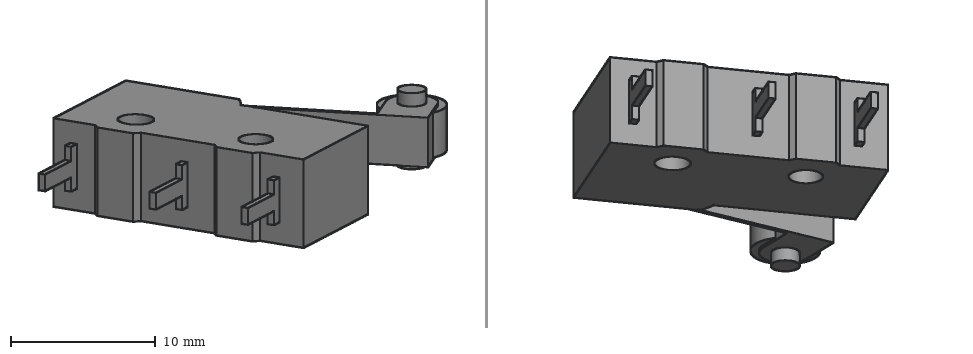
import cadquery as cq
import math

body_length = 19.8
body_height = 10.2
body_thickness = 6.4
step_drop = 1.1
step_start = 8.97
step_end = 9.7
step_bulge = 0.05

foot_starts = (3.31, 12.75)
foot_length = 3.63
foot_depth = 0.4

hole_height = 2.55
hole_diameter = 2.4
round_hole_x = 14.6
slot_x = 5.1
slot_length = 2.52

terminal_centres = (1.6, 10.4, 17.67)
terminal_thickness = 0.5
shoulder_width = 3.23
shoulder_depth = 0.8
blade_width = 1.2
blade_reach = 4.47

plunger_centre = 7.1
plunger_width = 2.0
plunger_side_height = 0.63
plunger_height = 1.2

lever_angle = math.radians(18)
lever_thickness = 0.32
lever_width = 3.58
stem_x = 2.8
roller_x = 17.46
roller_radius = 2.42
roller_y = 26.3 - blade_reach - roller_radius
roller_width = 3.25
bracket_radius = 1.81
bracket_reach = 3.353
pin_radius = 1.0
pin_length = 5.5


def extrude_centred(sketch, width):
    return sketch.extrude(width / 2, both=True)


def block(x_min, x_max, y_min, y_max, width):
    sketch = cq.Workplane("XY").center((x_min + x_max) / 2, (y_min + y_max) / 2)
    return extrude_centred(sketch.rect(x_max - x_min, y_max - y_min), width)


def disc(radius, width):
    return extrude_centred(cq.Workplane("XY").center(roller_x, roller_y).circle(radius), width)


def make_housing():
    outline = cq.Workplane("XY").moveTo(0, 0)
    for start in foot_starts:
        end = start + foot_length
        outline = (
            outline.lineTo(start, 0)
            .lineTo(start + foot_depth, -foot_depth)
            .lineTo(end - foot_depth, -foot_depth)
            .lineTo(end, 0)
        )
    outline = (
        outline.lineTo(body_length, 0)
        .lineTo(body_length, body_height - step_drop)
        .lineTo(step_end, body_height - step_drop)
        .sagittaArc((step_start, body_height), -step_bulge)
        .lineTo(0, body_height)
        .close()
    )
    round_hole = cq.Workplane("XY").center(round_hole_x, hole_height).circle(hole_diameter / 2)
    slot = cq.Workplane("XY").center(slot_x, hole_height).slot2D(slot_length, hole_diameter)
    housing = extrude_centred(outline, body_thickness)
    housing = housing.cut(extrude_centred(round_hole, body_thickness))
    return housing.cut(extrude_centred(slot, body_thickness))


def make_terminal(centre):
    x_min = centre - terminal_thickness / 2
    x_max = centre + terminal_thickness / 2
    shoulder = block(x_min, x_max, -shoulder_depth, shoulder_depth, shoulder_width)
    blade = block(x_min, x_max, -blade_reach, shoulder_depth, blade_width)
    return shoulder.union(blade)


def make_plunger():
    left = plunger_centre - plunger_width / 2
    right = plunger_centre + plunger_width / 2
    shoulder = body_height + plunger_side_height
    outline = (
        cq.Workplane("XY")
        .moveTo(left, body_height - plunger_side_height)
        .lineTo(right, body_height - plunger_side_height)
        .lineTo(right, shoulder)
        .threePointArc((plunger_centre, body_height + plunger_height), (left, shoulder))
        .close()
    )
    return extrude_centred(outline, plunger_width)


def bracket_point(along, across):
    """Point offset from the roller axis, along the lever and away from it."""
    return (
        roller_x + along * math.cos(lever_angle) - across * math.sin(lever_angle),
        roller_y + along * math.sin(lever_angle) + across * math.cos(lever_angle),
    )


def make_lever():
    """Thin bent strip with a solid round-ended bracket at its tip."""
    tip = bracket_point(bracket_radius, -bracket_reach)
    bracket_corner = bracket_point(-bracket_radius, lever_thickness - bracket_reach)
    slope = math.tan(lever_angle)
    stem_inner_x = stem_x + lever_thickness
    inner_bend_y = tip[1] - slope * (tip[0] - stem_inner_x)
    outer_bend_y = bracket_corner[1] - slope * (bracket_corner[0] - stem_x)
    root_y = body_height - lever_thickness
    outline = (
        cq.Workplane("XY")
        .moveTo(stem_x, root_y)
        .lineTo(stem_inner_x, root_y)
        .lineTo(stem_inner_x, inner_bend_y)
        .lineTo(*tip)
        .lineTo(*bracket_point(bracket_radius, 0))
        .threePointArc(bracket_point(0, bracket_radius), bracket_point(-bracket_radius, 0))
        .lineTo(*bracket_corner)
        .lineTo(stem_x, outer_bend_y)
        .close()
    )
    return extrude_centred(outline, lever_width)


result = make_housing().union(make_plunger()).union(make_lever())
for terminal_centre in terminal_centres:
    result = result.union(make_terminal(terminal_centre))
result = result.union(disc(roller_radius, roller_width)).union(disc(pin_radius, pin_length))